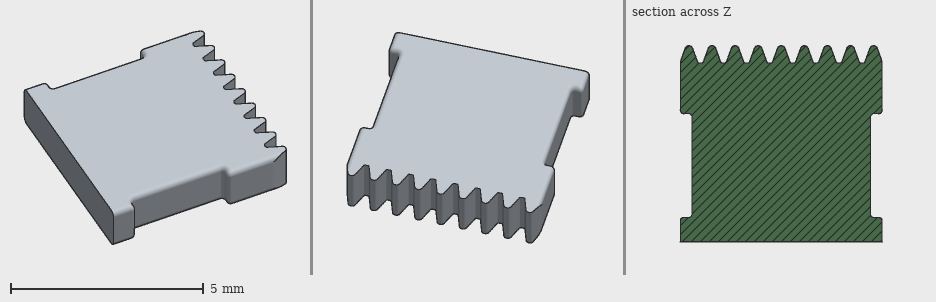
import cadquery as cq
import math

WIDTH = 5.25
LENGTH = 5.1
THICKNESS = 1.2

TOOTH_COUNT = 9
TOOTH_PITCH = 0.6
TOOTH_HEIGHT = 0.45
FLANK_ANGLE = 20.0
CREST_WIDTH = 0.148
CREST_RADIUS = 0.1
ROOT_RADIUS = 0.04
SHOULDER_RADIUS = 0.5

NOTCH_DEPTH = 0.3
NOTCH_START = 0.64
NOTCH_END = 3.33
NOTCH_INNER_RADIUS = 0.09
NOTCH_OUTER_RADIUS = 0.1

EDGE_RADIUS = 0.15

TOLERANCE = 1e-4

HALF_WIDTH = WIDTH / 2
FLANK_SLOPE = math.tan(math.radians(FLANK_ANGLE))
HALF_CREST = CREST_WIDTH / 2
ROOT_Y = LENGTH - TOOTH_HEIGHT
HALF_TOOTH_AT_ROOT = HALF_CREST + TOOTH_HEIGHT * FLANK_SLOPE
LAST_TOOTH_X = TOOTH_PITCH * (TOOTH_COUNT - 1) / 2
SHOULDER_Y = LENGTH - (HALF_WIDTH - LAST_TOOTH_X - HALF_CREST) / FLANK_SLOPE


def near(value, target):
    return abs(value - target) < TOLERANCE


def fillet_vertical(body, radius, chosen):
    """Round the vertical edges of body whose (x, y) position satisfies chosen."""
    edges = [e for e in body.edges("|Z").vals() if chosen(e.Center().x, e.Center().y)]
    return body.newObject(edges).fillet(radius)


def round_side_edges(body):
    """Round the upper and lower edges that follow the two notched sides."""
    rim = body.faces("<Z or >Z").edges().vals()
    side_edges = [e for e in rim if not (near(e.Center().y, 0) or near(e.Center().y, LENGTH))]
    return body.newObject(side_edges).fillet(EDGE_RADIUS)


def notched_block():
    """Plain block with a notch in each side; the notch mouths are rounded last."""
    body = cq.Workplane("XY").box(WIDTH, LENGTH, THICKNESS, centered=(True, False, True))
    notch_middle = (NOTCH_START + NOTCH_END) / 2
    notch = cq.Workplane("XY").box(2 * NOTCH_DEPTH, NOTCH_END - NOTCH_START, THICKNESS)
    for side in (-1, 1):
        body = body.cut(notch.translate((side * HALF_WIDTH, notch_middle, 0)))

    def at_notch_floor(x, y):
        return near(abs(x), HALF_WIDTH - NOTCH_DEPTH)

    def at_notch_mouth(x, y):
        return near(abs(x), HALF_WIDTH) and (near(y, NOTCH_START) or near(y, NOTCH_END))

    body = fillet_vertical(body, NOTCH_INNER_RADIUS, at_notch_floor)
    body = round_side_edges(body)
    return fillet_vertical(body, NOTCH_OUTER_RADIUS, at_notch_mouth)


def toothed_prism():
    """Full-width prism whose +Y end carries the row of rounded rack teeth."""
    outline = [(-HALF_WIDTH, 0), (-HALF_WIDTH, SHOULDER_Y)]
    for index in range(TOOTH_COUNT):
        tooth_x = index * TOOTH_PITCH - LAST_TOOTH_X
        if index > 0:
            outline.append((tooth_x - HALF_TOOTH_AT_ROOT, ROOT_Y))
        outline.append((tooth_x - HALF_CREST, LENGTH))
        outline.append((tooth_x + HALF_CREST, LENGTH))
        if index < TOOTH_COUNT - 1:
            outline.append((tooth_x + HALF_TOOTH_AT_ROOT, ROOT_Y))
    outline += [(HALF_WIDTH, SHOULDER_Y), (HALF_WIDTH, 0)]

    prism = cq.Workplane("XY").polyline(outline).close().extrude(THICKNESS / 2, both=True)
    prism = fillet_vertical(prism, CREST_RADIUS, lambda x, y: near(y, LENGTH))
    prism = fillet_vertical(prism, ROOT_RADIUS, lambda x, y: near(y, ROOT_Y))
    return fillet_vertical(prism, SHOULDER_RADIUS, lambda x, y: near(y, SHOULDER_Y))


result = notched_block().intersect(toothed_prism())